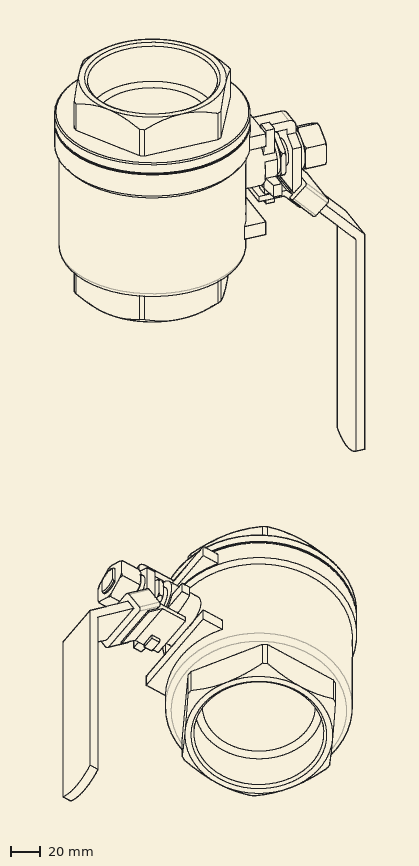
import cadquery as cq
import math

overall_height = 326.5

body_top = 81.3
body_diameter = 126.0
body_bottom = 54.5
body_round = 4.0
cap_diameter = 132.0
cap_top = 54.5
cap_bottom = 25.5
cap_edge_chamfer = 1.0
cap_shoulder_chamfer = 3.3
joint_height = 46.0
joint_width = 1.0
joint_depth = 0.5

end_across_flats = 99.5
end_edge_chamfer = 2.0
end_corner_radius = 56.8
end_chamfer_height = 6.2

bore_diameter = 76.0
socket_mouth_radius = 45.7
socket_start_radius = 43.8
socket_end_radius = 43.0
socket_chamfer = 2.0
socket_depth = 29.5
socket_seat_drop = 2.0

pad_width = 68.3
pad_height = 10.0
pad_offset = 35.0
pad_face = 68.5
pad_root = 49.0

stem_height = -0.3
boss_diameter = 38.0
boss_root = 55.5
boss_face = 84.0
relief_start = 74.8
relief_offset = 17.5
stop_half_length = 29.0
stop_bar_height = 9.0
stop_offset = 10.8
stop_shift = 1.0
stop_face = 83.0
stop_tip = 76.8
stop_belly = 74.5

stem_diameter = 19.0
stem_flats = 12.7
stem_tip = 123.5
stem_chamfer = 1.0
washer_diameter = 28.0
thin_nut_start = 88.0
thin_nut_end = 91.5
thin_nut_corners = 34.3
nut_start = 105.8
nut_end = 121.5
nut_corners = 32.5
nut_chamfer = 1.0

lever_thickness = 6.5
lever_width = 32.5
lever_plate_inner = 95.7
lever_outer = 148.5
lever_bend = -23.2
grip_bend = -72.2
grip_end_rise = 5.2
tab_width = 13.5
tab_top = 27.8
tab_end = 74.5
tab_bend_radius = 5.2
shoulder_low = 11.0
shoulder_high = 17.0
lever_bottom = body_top - overall_height
grip_inner = lever_outer - lever_thickness

lock_top = -20.5
lock_thickness = 4.2
lock_end = 71.0
lock_bend = 91.5
lock_reach = 16.3
sleeve_length = 24.0
sleeve_width = 40.8
sleeve_thickness = 15.5
sleeve_round = 2.0
sleeve_center_y = 107.0

slope_run = grip_inner - lever_plate_inner
slope_drop = lever_bend - grip_bend
slope_angle = math.atan2(slope_drop, slope_run)
along = (math.cos(slope_angle), -math.sin(slope_angle))
across = (math.sin(slope_angle), math.cos(slope_angle))
steep_bend_shift = lever_thickness * math.tan((math.pi / 2 - slope_angle) / 2)


def box(x_range, y_range, z_range):
    size = [high - low for low, high in (x_range, y_range, z_range)]
    corner = (x_range[0], y_range[0], z_range[0])
    return cq.Workplane("XY").box(*size, centered=False).translate(corner)


def stem_plane(start):
    """Workplane across the stem at y = start; its normal points along -Y."""
    return cq.Workplane("XZ", origin=(0, start, 0))


def stem_disc(diameter, start, end):
    return stem_plane(start).circle(diameter / 2).extrude(start - end)


def stem_hexagon(corners, start, end):
    """Hexagon with two corners pointing up and down."""
    return stem_plane(start).transformed(rotate=(0, 0, 90)).polygon(6, corners).extrude(start - end)


def revolve_about_flow(points):
    return cq.Workplane("XZ").polyline(points).close().revolve(360, (0, 0, 0), (0, 1, 0))


def extrude_across(outline, width):
    """Extrude a closed YZ outline symmetrically along X."""
    return outline.extrude(width / 2, both=True)


def make_hexagonal_ends():
    corners = end_across_flats / math.cos(math.pi / 6)
    bar = cq.Workplane("XY").transformed(rotate=(0, 0, 30)).polygon(6, corners)
    bar = bar.extrude(body_top, both=True).edges("|Z").chamfer(end_edge_chamfer)
    face_radius = end_across_flats / 2
    chamfer_start = body_top - end_chamfer_height
    envelope = revolve_about_flow([
        (0, -body_top), (face_radius, -body_top), (end_corner_radius, -chamfer_start),
        (end_corner_radius, chamfer_start), (face_radius, body_top), (0, body_top),
    ])
    return bar.intersect(envelope)


def make_shell():
    barrel = cq.Workplane("XY").workplane(offset=-body_bottom)
    barrel = barrel.circle(body_diameter / 2).extrude(body_bottom + cap_top)
    barrel = barrel.faces("<Z").edges().fillet(body_round)
    cap_radius = cap_diameter / 2
    groove_low = joint_height - joint_width / 2
    groove_high = joint_height + joint_width / 2
    cap = revolve_about_flow([
        (0, cap_bottom),
        (body_diameter / 2, cap_bottom),
        (cap_radius, cap_bottom + cap_shoulder_chamfer),
        (cap_radius, groove_low),
        (cap_radius - joint_depth, groove_low),
        (cap_radius - joint_depth, groove_high),
        (cap_radius, groove_high),
        (cap_radius, cap_top - cap_edge_chamfer),
        (cap_radius - cap_edge_chamfer, cap_top),
        (0, cap_top),
    ])
    return barrel.union(cap).union(make_hexagonal_ends())


def make_bore():
    bore = cq.Workplane("XY").circle(bore_diameter / 2).extrude(body_top, both=True)
    seat_bottom = body_top - socket_depth - socket_seat_drop
    socket = revolve_about_flow([
        (0, body_top), (socket_mouth_radius, body_top),
        (socket_start_radius, body_top - socket_chamfer),
        (socket_end_radius, body_top - socket_depth),
        (bore_diameter / 2, seat_bottom), (0, seat_bottom),
    ])
    return bore.union(socket).union(socket.mirror("XY"))


def make_pad(center):
    half_height = pad_height / 2
    return box(
        (-pad_width / 2, pad_width / 2), (pad_root, pad_face), (center - half_height, center + half_height)
    )


def make_boss():
    boss = stem_disc(boss_diameter, boss_root, boss_face)
    radius = boss_diameter / 2
    relief = (relief_start, boss_face)
    boss = boss.cut(box((relief_offset, radius), relief, (-radius, radius)))
    return boss.cut(box((-radius, radius), relief, (-radius, -relief_offset)))


def make_stop_bar():
    """Bar along X with a bowed face towards the body, centred on z = 0."""
    outline = (
        cq.Workplane("XY").workplane(offset=-stop_bar_height / 2)
        .moveTo(-stop_half_length, stop_face)
        .lineTo(-stop_half_length, stop_tip)
        .threePointArc((0, stop_belly), (stop_half_length, stop_tip))
        .lineTo(stop_half_length, stop_face)
        .close()
    )
    return outline.extrude(stop_bar_height)


def make_nut(corners, start, end):
    envelope = stem_disc(corners, start, end).faces("<Y or >Y").edges().chamfer(nut_chamfer)
    return stem_hexagon(corners, start, end).intersect(envelope)


def make_stem():
    plate_outer = lever_plate_inner + lever_thickness
    radius = stem_diameter / 2
    shank = stem_disc(stem_diameter, boss_root, lever_plate_inner)
    tip = stem_disc(stem_diameter, lever_plate_inner, stem_tip).faces(">Y").edges().chamfer(stem_chamfer)
    flats = box((-stem_flats / 2, stem_flats / 2), (lever_plate_inner, stem_tip), (-radius, radius))
    stem = shank.union(tip.intersect(flats))
    stem = stem.union(stem_disc(washer_diameter, boss_face, thin_nut_start))
    stem = stem.union(make_nut(thin_nut_corners, thin_nut_start, thin_nut_end))
    stem = stem.union(stem_disc(washer_diameter, plate_outer, nut_start))
    return stem.union(make_nut(nut_corners, nut_start, nut_end))


def make_lever():
    plate_outer = lever_plate_inner + lever_thickness
    profile = cq.Workplane("YZ").polyline([
        (tab_end, tab_top),
        (plate_outer, tab_top),
        (plate_outer, lever_bend + steep_bend_shift),
        (lever_outer, grip_bend + steep_bend_shift),
        (lever_outer, lever_bottom),
        (grip_inner, lever_bottom),
        (grip_inner, grip_bend),
        (lever_plate_inner, lever_bend),
        (lever_plate_inner, tab_top - lever_thickness),
        (tab_end, tab_top - lever_thickness),
    ]).close()
    strip = extrude_across(profile, lever_width)
    tab_bend = cq.selectors.NearestToPointSelector((0, plate_outer, tab_top))
    strip = strip.edges(tab_bend).fillet(tab_bend_radius)
    half_tab = tab_width / 2
    half_width = lever_width / 2
    outline = (
        cq.Workplane("XZ").moveTo(-half_tab, tab_top)
        .lineTo(half_tab, tab_top)
        .lineTo(half_tab, shoulder_high)
        .lineTo(half_width, shoulder_low)
        .lineTo(half_width, lever_bottom + grip_end_rise)
        .threePointArc((0, lever_bottom), (-half_width, lever_bottom + grip_end_rise))
        .lineTo(-half_width, shoulder_low)
        .lineTo(-half_tab, shoulder_high)
        .close()
        .extrude(-lever_outer)
    )
    return strip.intersect(outline)


def make_locking_plate():
    bend_shift = lock_thickness * math.tan(slope_angle / 2)
    lock_bottom = lock_top - lock_thickness
    under_bend = lock_bend - bend_shift
    profile = cq.Workplane("YZ").polyline([
        (lock_end, lock_top),
        (lock_bend, lock_top),
        (lock_bend + lock_reach * along[0], lock_top + lock_reach * along[1]),
        (under_bend + lock_reach * along[0], lock_bottom + lock_reach * along[1]),
        (under_bend, lock_bottom),
        (lock_end, lock_bottom),
    ]).close()
    return extrude_across(profile, lever_width)


def make_sleeve():
    """Rounded sleeve centred on the thickness of the sloping part of the handle."""
    half = lever_thickness / 2
    travel = (sleeve_center_y - lever_plate_inner - half * across[0]) / along[0]
    center_z = lever_bend + travel * along[1] + half * across[1]
    sleeve = cq.Workplane("XY").box(sleeve_width, sleeve_length, sleeve_thickness)
    sleeve = sleeve.edges("|Y").fillet(sleeve_round)
    sleeve = sleeve.rotate((0, 0, 0), (1, 0, 0), -math.degrees(slope_angle))
    return sleeve.translate((0, sleeve_center_y, center_z))


body = make_shell().union(make_boss().translate((0, 0, stem_height)))
for pad_center in (-pad_offset, pad_offset):
    body = body.union(make_pad(pad_center))

stop_bar = make_stop_bar().translate((-stop_shift, 0, -stop_offset))
turned_stop_bar = stop_bar.rotate((0, 0, 0), (0, 1, 0), -90).mirror("XY")
stem_group = make_stem().union(stop_bar).union(turned_stop_bar).translate((0, 0, stem_height))

result = body.cut(make_bore())
for piece in (stem_group, make_lever(), make_locking_plate(), make_sleeve()):
    result = result.union(piece)